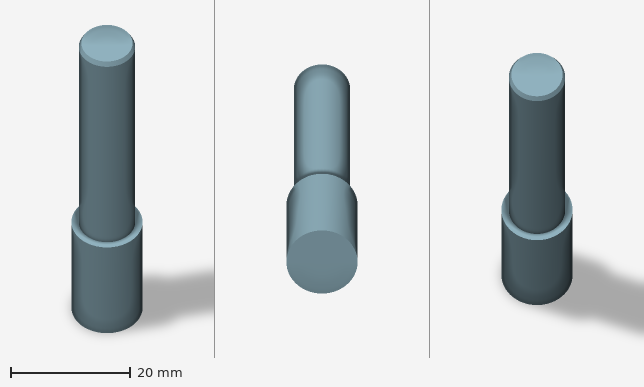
import cadquery as cq

pin_length = 63.5
pin_diameter = 9.45
sleeve_length = 20.6
sleeve_diameter = 11.95

chamfer_height = 0.8
chamfer_width = 0.45


def make_pin():
    """Straight pin standing on Z = 0, with a steep chamfer around its top."""
    radius = pin_diameter / 2
    profile = (
        cq.Workplane("XZ")
        .moveTo(0, 0)
        .lineTo(radius, 0)
        .lineTo(radius, pin_length - chamfer_height)
        .lineTo(radius - chamfer_width, pin_length)
        .lineTo(0, pin_length)
        .close()
    )
    return profile.revolve(360, (0, 0, 0), (0, 1, 0))


def make_sleeve():
    """Plain sleeve around the lower end of the pin, flush with its bottom."""
    return (
        cq.Workplane("XY")
        .circle(sleeve_diameter / 2)
        .circle(pin_diameter / 2)
        .extrude(sleeve_length)
    )


pin = make_pin()
sleeve = make_sleeve()

result = cq.Compound.makeCompound([pin.val(), sleeve.val()])